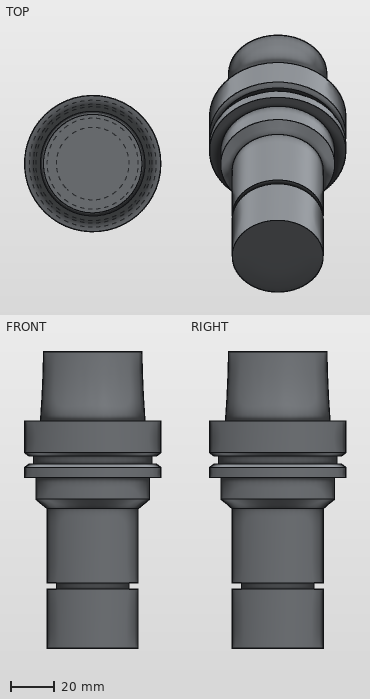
import cadquery as cq

FLANGE_DIAMETER = 63.0
FLANGE_GROOVE_DIAMETER = 55.0
FLANGE_LIP_DIAMETER = 58.6
SHOULDER_DIAMETER = 52.6
BODY_DIAMETER = 42.0
NECK_DIAMETER = 33.5
SHANK_TOP_DIAMETER = 45.5
SHANK_MIDDLE_DIAMETER = 46.5
SHANK_BASE_DIAMETER = 48.4

TOTAL_HEIGHT = 137.0
HEAD_LENGTH = 27.4
NECK_LENGTH = 2.9
BODY_LENGTH = 34.2
SHOULDER_BEVEL_LENGTH = 4.4
SHOULDER_LENGTH = 10.0
LOWER_FLANGE_LENGTH = 4.7
FLANGE_BEVEL_LENGTH = 1.6
FLANGE_GROOVE_LENGTH = 3.5
UPPER_FLANGE_LENGTH = 14.7

neck_top = HEAD_LENGTH + NECK_LENGTH
body_top = neck_top + BODY_LENGTH
shoulder_base = body_top + SHOULDER_BEVEL_LENGTH
flange_base = shoulder_base + SHOULDER_LENGTH
lower_flange_top = flange_base + LOWER_FLANGE_LENGTH
groove_base = lower_flange_top + FLANGE_BEVEL_LENGTH
groove_top = groove_base + FLANGE_GROOVE_LENGTH
upper_flange_base = groove_top + FLANGE_BEVEL_LENGTH
flange_top = upper_flange_base + UPPER_FLANGE_LENGTH
shank_middle = (flange_top + TOTAL_HEIGHT) / 2


def make_head():
    """Plain cylindrical head at the lower end."""
    return cq.Workplane("XY").circle(BODY_DIAMETER / 2).extrude(HEAD_LENGTH)


def make_holder():
    """Revolved holder: neck, body, shoulder, grooved flange and flared shank."""
    profile = (
        cq.Workplane("XZ")
        .moveTo(0, HEAD_LENGTH)
        .lineTo(NECK_DIAMETER / 2, HEAD_LENGTH)
        .lineTo(NECK_DIAMETER / 2, neck_top)
        .lineTo(BODY_DIAMETER / 2, neck_top)
        .lineTo(BODY_DIAMETER / 2, body_top)
        .lineTo(SHOULDER_DIAMETER / 2, shoulder_base)
        .lineTo(SHOULDER_DIAMETER / 2, flange_base)
        .lineTo(FLANGE_DIAMETER / 2, flange_base)
        .lineTo(FLANGE_DIAMETER / 2, lower_flange_top)
        .lineTo(FLANGE_LIP_DIAMETER / 2, groove_base)
        .lineTo(FLANGE_GROOVE_DIAMETER / 2, groove_base)
        .lineTo(FLANGE_GROOVE_DIAMETER / 2, groove_top)
        .lineTo(FLANGE_LIP_DIAMETER / 2, groove_top)
        .lineTo(FLANGE_DIAMETER / 2, upper_flange_base)
        .lineTo(FLANGE_DIAMETER / 2, flange_top)
        .lineTo(SHANK_BASE_DIAMETER / 2, flange_top)
        .threePointArc(
            (SHANK_MIDDLE_DIAMETER / 2, shank_middle),
            (SHANK_TOP_DIAMETER / 2, TOTAL_HEIGHT),
        )
        .lineTo(0, TOTAL_HEIGHT)
        .close()
    )
    return profile.revolve(360, (0, 0, 0), (0, 1, 0))


head = make_head()
holder = make_holder()

result = cq.Compound.makeCompound([head.val(), holder.val()])